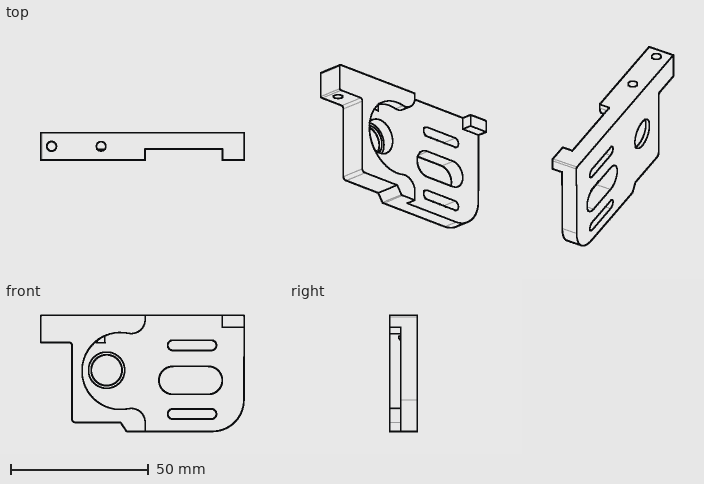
import cadquery as cq
import math

length = 74.0
thickness = 10.0
height = 42.25

arm_height = 10.0
body_left = 11.4
step_height = 3.25
foot_ramp_start = 29.0
foot_ramp_end = 31.2
big_corner_radius = 11.5
right_edge_lean = 0.15
small_edge_radius = 0.5
inner_corner_radius = 0.95
heel_radius = 1.25

recess_depth = 4.0
recess_radius = 14.0
recess_x = 29.0
recess_z = 22.0
recess_shoulder_x = 37.95
shoulder_radius = 5.0
tab_left = 66.0
tab_height = 4.45

bore_x = 24.0
bore_z = 22.3
bore_diameter = 11.1
counterbore_diameter = 13.2
bore_lip = 1.5

slot_left = 46.2
slot_right = 63.8
slot_width = 3.6
slot_heights = (6.4, 31.3)
wide_slot_left = 43.0
wide_slot_right = 65.9
wide_slot_width = 10.05
wide_slot_z = 18.6

pin_diameter = 3.4
pin_positions = (4.0, 22.0)
pin_depth = arm_height

cut_margin = 0.75


def front_plane(y=0.0):
    """XZ sketch plane at depth y; positive extrusion goes toward -Y."""
    return cq.Workplane("XZ", origin=(0, y, 0))


def make_body():
    lower_right = length - right_edge_lean
    arm_bottom = height - arm_height
    body = (
        front_plane()
        .moveTo(0, height)
        .lineTo(length, height)
        .lineTo(lower_right, big_corner_radius)
        .radiusArc((lower_right - big_corner_radius, 0), big_corner_radius)
        .lineTo(foot_ramp_end, 0)
        .lineTo(foot_ramp_start, step_height)
        .lineTo(body_left, step_height)
        .lineTo(body_left, arm_bottom)
        .lineTo(0, arm_bottom)
        .close()
        .extrude(-thickness)
    )
    small_round_corners = ((0, height), (length, height), (0, arm_bottom), (foot_ramp_end, 0))
    for x, z in small_round_corners:
        body = round_corner(body, x, z, small_edge_radius)
    body = round_corner(body, body_left, arm_bottom, inner_corner_radius)
    return round_corner(body, body_left, step_height, heel_radius)


def round_corner(body, x, z, radius):
    """Fillet the profile edge that runs through the thickness at (x, z)."""
    edge_middle = (x, thickness / 2, z)
    return body.edges(cq.selectors.NearestToPointSelector(edge_middle)).fillet(radius)


def make_recess():
    shoulder_x = recess_shoulder_x - shoulder_radius
    centre_distance = recess_radius + shoulder_radius
    run = shoulder_x - recess_x
    rise = math.sqrt(centre_distance**2 - run**2)
    touch_ratio = recess_radius / centre_distance
    touch_x = recess_x + run * touch_ratio
    touch_rise = rise * touch_ratio
    mid_angle = math.atan2(-rise, -run) / 2
    mid_x = shoulder_x + shoulder_radius * math.cos(mid_angle)
    mid_rise = rise + shoulder_radius * math.sin(mid_angle)

    top = height + cut_margin
    right = length + cut_margin
    recess = (
        front_plane()
        .moveTo(recess_shoulder_x, top)
        .lineTo(recess_shoulder_x, recess_z + rise)
        .threePointArc((mid_x, recess_z + mid_rise), (touch_x, recess_z + touch_rise))
        .threePointArc((recess_x - recess_radius, recess_z), (touch_x, recess_z - touch_rise))
        .threePointArc((mid_x, recess_z - mid_rise), (recess_shoulder_x, recess_z - rise))
        .lineTo(recess_shoulder_x, -cut_margin)
        .lineTo(right, -cut_margin)
        .lineTo(right, height - tab_height)
        .lineTo(tab_left, height - tab_height)
        .lineTo(tab_left, top)
        .close()
        .extrude(-recess_depth)
    )
    return recess


def make_bore():
    through = front_plane().center(bore_x, bore_z).circle(bore_diameter / 2).extrude(-thickness)
    counterbore = (
        front_plane(recess_depth)
        .center(bore_x, bore_z)
        .circle(counterbore_diameter / 2)
        .extrude(-(thickness - recess_depth - bore_lip))
    )
    behind_floor = front_plane(recess_depth).rect(4 * length, 4 * length).extrude(-thickness)
    return through.intersect(behind_floor).union(counterbore)


def make_slot(left, right, width, z):
    return front_plane().center((left + right) / 2, z).slot2D(right - left, width).extrude(-thickness)


def make_pin_holes():
    return (
        cq.Workplane("XY", origin=(0, thickness / 2, height))
        .pushPoints([(x, 0) for x in pin_positions])
        .circle(pin_diameter / 2)
        .extrude(-pin_depth)
    )


result = make_body().cut(make_recess()).cut(make_bore()).cut(make_pin_holes())
for slot_z in slot_heights:
    result = result.cut(make_slot(slot_left, slot_right, slot_width, slot_z))
result = result.cut(make_slot(wide_slot_left, wide_slot_right, wide_slot_width, wide_slot_z))